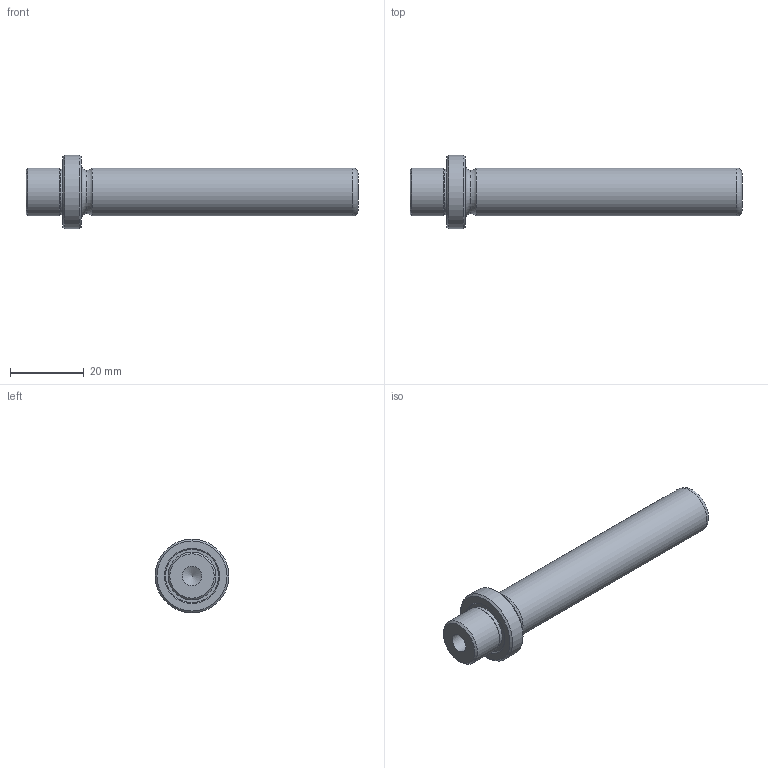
import cadquery as cq
import math

spigot_length = 10.0
flange_thickness = 5.0
total_length = 90.0
flange_back = spigot_length + flange_thickness

body_radius = 13.0 / 2
flange_radius = 20.0 / 2

spigot_chamfer = 0.5
flange_chamfer = 0.5
shank_end_radius = 1.5

undercut_start = 9.0
undercut_depth = 0.3
undercut_radius = body_radius - undercut_depth
undercut_outer_radius = 7.5

neck_depth = 0.6
neck_radius = body_radius - neck_depth
neck_fillet = 1.35
neck_length = 3.0
neck_runout_length = neck_length - neck_fillet
neck_runout_radius = (neck_runout_length**2 + neck_depth**2) / (2 * neck_depth)

hole_radius = 5.2 / 2
hole_depth = 10.0
drill_point_angle = 118.0


def arc_point(center, radius, angle_degrees):
    """Point on a circle in the profile plane (axial, radial)."""
    angle = math.radians(angle_degrees)
    return (center[0] + radius * math.cos(angle), center[1] + radius * math.sin(angle))


def make_body():
    """Revolve the outer profile about the X axis."""
    undercut_end = spigot_length + undercut_depth
    neck_bottom = flange_back + neck_fillet
    neck_center = (neck_bottom, neck_radius + neck_fillet)
    runout_center = (neck_bottom, neck_radius + neck_runout_radius)
    runout_half_angle = math.degrees(math.asin(neck_runout_length / neck_runout_radius)) / 2
    end_center = (total_length - shank_end_radius, body_radius - shank_end_radius)

    profile = (
        cq.Workplane("XY")
        .moveTo(0, 0)
        .lineTo(0, body_radius - spigot_chamfer)
        .lineTo(spigot_chamfer, body_radius)
        .lineTo(undercut_start, body_radius)
        .lineTo(undercut_start + undercut_depth, undercut_radius)
        .lineTo(undercut_end, undercut_radius)
        .lineTo(undercut_end, undercut_outer_radius - undercut_depth)
        .lineTo(spigot_length, undercut_outer_radius)
        .lineTo(spigot_length, flange_radius - flange_chamfer)
        .lineTo(spigot_length + flange_chamfer, flange_radius)
        .lineTo(flange_back - flange_chamfer, flange_radius)
        .lineTo(flange_back, flange_radius - flange_chamfer)
        .lineTo(flange_back, neck_center[1])
        .threePointArc(arc_point(neck_center, neck_fillet, -135), (neck_bottom, neck_radius))
        .threePointArc(
            arc_point(runout_center, neck_runout_radius, runout_half_angle - 90),
            (neck_bottom + neck_runout_length, body_radius),
        )
        .lineTo(end_center[0], body_radius)
        .threePointArc(arc_point(end_center, shank_end_radius, 45), (total_length, end_center[1]))
        .lineTo(total_length, 0)
        .close()
    )
    return profile.revolve(360, (0, 0, 0), (1, 0, 0))


def make_hole():
    """Drilled hole along X from the spigot end."""
    point_length = hole_radius / math.tan(math.radians(drill_point_angle / 2))
    profile = (
        cq.Workplane("XY")
        .moveTo(0, 0)
        .lineTo(0, hole_radius)
        .lineTo(hole_depth, hole_radius)
        .lineTo(hole_depth + point_length, 0)
        .close()
    )
    return profile.revolve(360, (0, 0, 0), (1, 0, 0))


result = make_body().cut(make_hole())